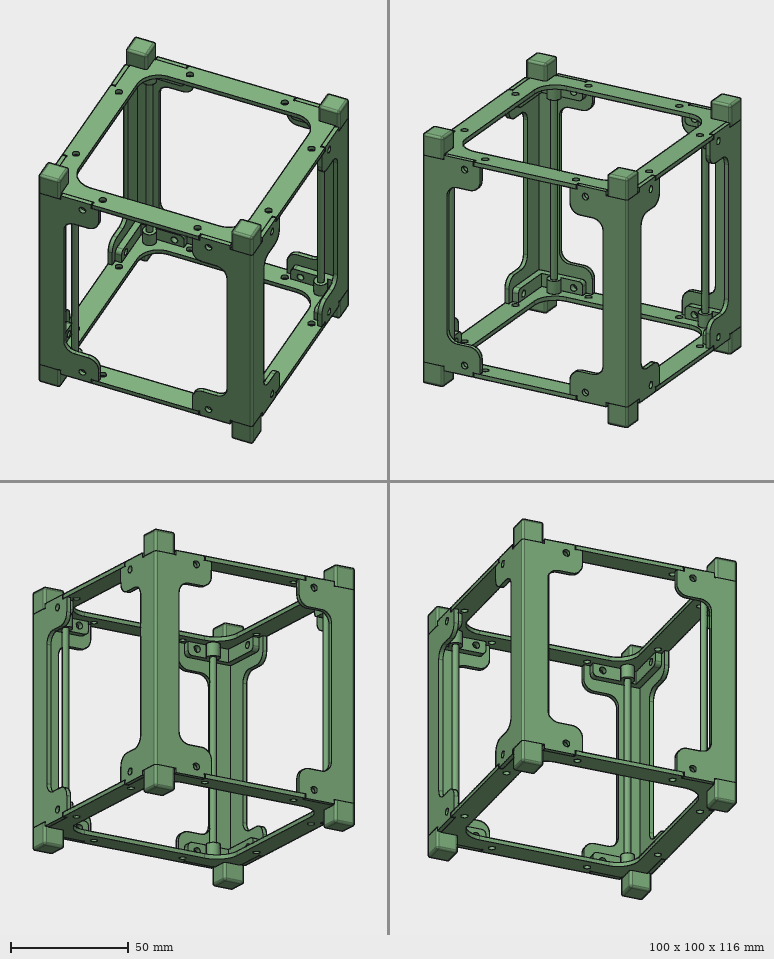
import cadquery as cq

SIDE = 100.0
HEIGHT = 116.0
HALF = SIDE / 2
HALF_HEIGHT = HEIGHT / 2

HOLE_DIAMETER = 3.0

FOOT_SIZE = 10.0
FOOT_LENGTH = 8.0
FOOT_ROUND = 1.0
SHEET = 2.0
RIM = 10.0
WINDOW_RADIUS = 10.0
PLATE_HOLE_INSET = 5.0
PLATE_HOLE_OFFSET = 22.2
PLATE_TOP = HALF_HEIGHT - FOOT_LENGTH
PLATE_BOTTOM = PLATE_TOP - SHEET

NOTCH_END = 24.9
TONGUE_GAP = 0.5

COLUMN_WIDTH = 12.0
EAR_END = 21.9
EAR_BOTTOM = 36.3
EAR_RADIUS = 5.0
SIDE_HOLE_X = 29.5
SIDE_HOLE_Z = 45.5

TAB_THICKNESS = 3.0
TAB_INNER = HALF - SHEET
TAB_OUTER = NOTCH_END
TAB_HEIGHT = 6.0
TAB_RADIUS = 2.0

ROD_DIAMETER = 3.0
BOSS_DIAMETER = 6.0
BOSS_HEIGHT = 6.0
ROD_PLACES = [(-36.1, -42.8), (37.7, -42.8), (40.0, 42.8), (-40.0, 42.8)]

QUARTER_TURNS = [0, 90, 180, 270]
Z_AXIS = ((0, 0, 0), (0, 0, 1))


def make_foot():
    """Rounded square foot through the (-X, -Y) corner of the plate, flat underneath."""
    length = HALF_HEIGHT - PLATE_BOTTOM
    return (
        cq.Workplane("XY", origin=(-HALF, -HALF, PLATE_BOTTOM))
        .rect(FOOT_SIZE, FOOT_SIZE, centered=False)
        .extrude(length)
        .edges("|Z or >Z")
        .fillet(FOOT_ROUND)
    )


def make_notch(mirror):
    """Cutter from the corner along the -Y edge of the plate; mirror is 1 or -1."""
    notch = (
        cq.Workplane("XY", origin=(NOTCH_END, -HALF, PLATE_BOTTOM))
        .rect(HALF - NOTCH_END, SHEET, centered=False)
        .extrude(SHEET)
    )
    return notch if mirror > 0 else notch.mirror("YZ")


def make_tab(mirror):
    """Tab under the plate behind an ear of the -Y side; mirror is 1 or -1."""
    tab = (
        cq.Workplane("XY")
        .box(TAB_INNER - TAB_OUTER, TAB_THICKNESS, TAB_HEIGHT, centered=False)
        .edges("|Y").edges("<X and <Z")
        .fillet(TAB_RADIUS)
        .translate((TAB_OUTER, -HALF + SHEET, PLATE_BOTTOM - TAB_HEIGHT))
    )
    return tab if mirror > 0 else tab.mirror("YZ")


def side_hole_cutter():
    """Cylinders along Y through the screw places of the upper end."""
    return (
        cq.Workplane("XZ", origin=(0, HALF, 0))
        .pushPoints([(-SIDE_HOLE_X, SIDE_HOLE_Z), (SIDE_HOLE_X, SIDE_HOLE_Z)])
        .circle(HOLE_DIAMETER / 2)
        .extrude(SIDE)
    )


def make_upper_frame():
    """Window plate with four feet, eight tabs and four rod bosses."""
    window = SIDE - 2 * RIM
    frame = cq.Workplane("XY", origin=(0, 0, PLATE_BOTTOM)).rect(SIDE, SIDE).extrude(SHEET)
    opening = (
        cq.Workplane("XY", origin=(0, 0, PLATE_BOTTOM))
        .rect(window, window)
        .extrude(SHEET)
        .edges("|Z")
        .fillet(WINDOW_RADIUS)
    )
    frame = frame.cut(opening)
    hole_pair = (
        cq.Workplane("XY", origin=(0, 0, PLATE_BOTTOM))
        .pushPoints([(x, -HALF + PLATE_HOLE_INSET) for x in (-PLATE_HOLE_OFFSET, PLATE_HOLE_OFFSET)])
        .circle(HOLE_DIAMETER / 2)
        .extrude(SHEET)
    )
    for angle in QUARTER_TURNS:
        frame = frame.cut(hole_pair.rotate(*Z_AXIS, angle))
        for mirror in (-1, 1):
            frame = frame.cut(make_notch(mirror).rotate(*Z_AXIS, angle))
    for angle in QUARTER_TURNS:
        frame = frame.union(make_foot().rotate(*Z_AXIS, angle))
        for mirror in (-1, 1):
            frame = frame.union(make_tab(mirror).rotate(*Z_AXIS, angle))
    bosses = (
        cq.Workplane("XY", origin=(0, 0, PLATE_BOTTOM - BOSS_HEIGHT))
        .pushPoints(ROD_PLACES)
        .circle(BOSS_DIAMETER / 2)
        .extrude(BOSS_HEIGHT)
    )
    frame = frame.union(bosses)
    for angle in (0, 90):
        frame = frame.cut(side_hole_cutter().rotate(*Z_AXIS, angle))
    return frame


def make_column_wall():
    """Wall of the (-X, -Y) column on the -Y side, with an ear at each end."""
    tongue_start = HALF - FOOT_SIZE - TONGUE_GAP
    tongue_end = NOTCH_END + TONGUE_GAP
    window_edge = HALF - COLUMN_WIDTH
    upper_half = (
        cq.Workplane("XZ", origin=(0, -HALF, 0))
        .moveTo(-HALF, 0)
        .lineTo(-HALF, PLATE_BOTTOM)
        .lineTo(-tongue_start, PLATE_BOTTOM)
        .lineTo(-tongue_start, PLATE_TOP)
        .lineTo(-tongue_end, PLATE_TOP)
        .lineTo(-tongue_end, PLATE_BOTTOM)
        .lineTo(-EAR_END, PLATE_BOTTOM)
        .lineTo(-EAR_END, EAR_BOTTOM + EAR_RADIUS)
        .radiusArc((-EAR_END - EAR_RADIUS, EAR_BOTTOM), EAR_RADIUS)
        .lineTo(-window_edge + EAR_RADIUS, EAR_BOTTOM)
        .radiusArc((-window_edge, EAR_BOTTOM - EAR_RADIUS), -EAR_RADIUS)
        .lineTo(-window_edge, 0)
        .close()
        .extrude(-SHEET)
        .cut(side_hole_cutter())
    )
    return upper_half.union(upper_half.mirror("XY"))


def make_column():
    """Angle column at the (-X, -Y) corner, symmetric about the corner diagonal."""
    wall = make_column_wall()
    other_wall = wall.mirror("YZ").rotate(*Z_AXIS, -90)
    outer_corner = cq.selectors.NearestToPointSelector((-HALF, -HALF, 0))
    return wall.union(other_wall).edges(outer_corner).fillet(FOOT_ROUND)


def make_rod(place):
    """Round rod reaching from the lower boss to the upper boss."""
    end = PLATE_BOTTOM - BOSS_HEIGHT
    return cq.Workplane("XY", origin=(*place, -end)).circle(ROD_DIAMETER / 2).extrude(2 * end)


upper_frame = make_upper_frame()
lower_frame = upper_frame.mirror("XY")
columns = [make_column().rotate(*Z_AXIS, angle) for angle in QUARTER_TURNS]
rods = [make_rod(place) for place in ROD_PLACES]

result = cq.Compound.makeCompound(
    [upper_frame.val(), lower_frame.val()]
    + [column.val() for column in columns]
    + [rod.val() for rod in rods]
)